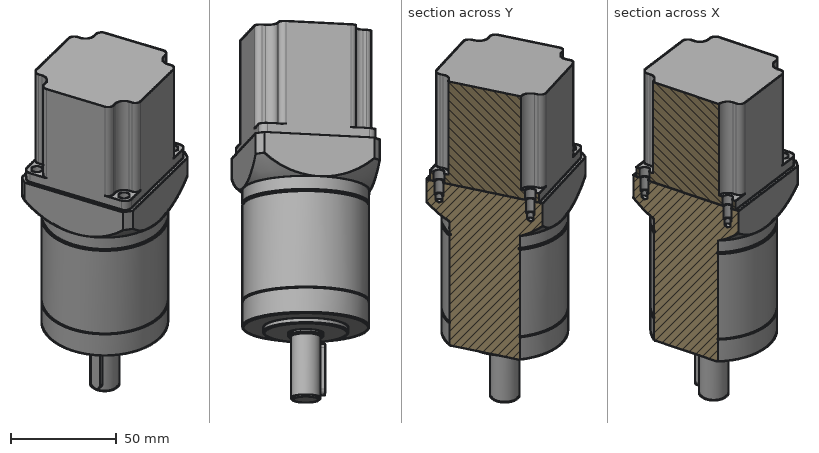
import cadquery as cq
import math

total_height = 176.5
shaft_chamfer = 0.9
collar_bottom = 30.5
boss_bottom = 32.3
housing_bottom = 35.0
lower_joint = 47.5
upper_joint = 94.6
neck_top = 101.5
gearbox_top = 121.6
flange_top = 126.5

housing_width = 60.0
housing_radius = housing_width / 2
adapter_corner_radius = 40.0
adapter_shoulder = neck_top + adapter_corner_radius - housing_radius
flare_bulge_radius = 49.5
boss_radius = 20.1
collar_radius = 8.3
shaft_radius = 7.0
edge_chamfer = 0.5
upper_groove = 0.5
lower_groove = 0.26

key_width = 5.0
key_length = 25.0
key_bottom = 2.5
key_reach = 9.0

motor_width = 56.5
flange_corner_radius = 3.5
screw_pitch = 47.1
screw_offset = screw_pitch / 2
scallop_radius = 4.8
motor_edge_radius = 3.0

clearance_radius = 2.6
tapped_radius = 2.1
tapped_depth = 7.0
drill_radius = 1.6
drill_depth = 10.0
drill_tip_angle = 118.0

screw_points = [(x * screw_offset, y * screw_offset) for x in (-1, 1) for y in (-1, 1)]


def make_housing():
    """Turned gearbox housing with V-grooves at its joints and the output boss and collar."""
    profile = [
        (0, collar_bottom),
        (collar_radius - edge_chamfer, collar_bottom),
        (collar_radius, collar_bottom + edge_chamfer),
        (collar_radius, boss_bottom),
        (boss_radius - edge_chamfer, boss_bottom),
        (boss_radius, boss_bottom + edge_chamfer),
        (boss_radius, housing_bottom),
        (housing_radius - edge_chamfer, housing_bottom),
        (housing_radius, housing_bottom + edge_chamfer),
    ]
    for joint, groove in ((lower_joint, lower_groove), (upper_joint, upper_groove)):
        profile += [
            (housing_radius, joint - groove),
            (housing_radius - groove, joint),
            (housing_radius, joint + groove),
        ]
    profile += [(housing_radius, neck_top), (0, neck_top)]
    return cq.Workplane("XZ").polyline(profile).close().revolve(360, (0, 0), (0, 1))


def make_adapter():
    """Square motor adapter: a turned, slightly bulging flare trimmed by four flat sides."""
    flare = (
        cq.Workplane("XZ")
        .moveTo(0, neck_top)
        .lineTo(housing_radius, neck_top)
        .radiusArc((adapter_corner_radius, adapter_shoulder), -flare_bulge_radius)
        .lineTo(adapter_corner_radius, gearbox_top)
        .lineTo(0, gearbox_top)
        .close()
        .revolve(360, (0, 0), (0, 1))
    )
    square = (
        cq.Workplane("XY", origin=(0, 0, neck_top))
        .rect(housing_width, housing_width)
        .extrude(gearbox_top - neck_top)
    )
    return flare.intersect(square)


def make_shaft():
    """Output shaft with a chamfered tip."""
    shaft = cq.Workplane("XY").circle(shaft_radius).extrude(collar_bottom)
    return shaft.faces("<Z").chamfer(shaft_chamfer)


def make_key():
    """Round-ended key standing out of the shaft on the -Y side."""
    return (
        cq.Workplane("XZ")
        .center(0, key_bottom + key_length / 2)
        .slot2D(key_length, key_width, 90)
        .extrude(key_reach)
    )


def make_tapped_hole_cutter():
    """Blind stepped holes with conical drill tips, sunk into the adapter face."""
    tip_height = drill_radius / math.tan(math.radians(drill_tip_angle / 2))
    drill_bottom = gearbox_top - drill_depth
    thread_bottom = gearbox_top - tapped_depth
    profile = [
        (0, drill_bottom - tip_height),
        (drill_radius, drill_bottom),
        (drill_radius, thread_bottom),
        (tapped_radius, thread_bottom),
        (tapped_radius, gearbox_top),
        (0, gearbox_top),
    ]
    drill = cq.Workplane("XZ").polyline(profile).close().revolve(360, (0, 0), (0, 1))
    cutter = cq.Workplane("XY")
    for x, y in screw_points:
        cutter = cutter.add(drill.translate((x, y, 0)))
    return cutter.combine()


def make_gearbox():
    """Gearbox housing, adapter, shaft and key as one solid."""
    gearbox = make_housing().union(make_adapter()).union(make_shaft()).union(make_key())
    return gearbox.cut(make_tapped_hole_cutter())


def make_motor_flange():
    """Square mounting plate with rounded corners and four clearance holes."""
    return (
        cq.Workplane("XY", origin=(0, 0, gearbox_top))
        .rect(motor_width, motor_width)
        .extrude(flange_top - gearbox_top)
        .edges("|Z")
        .fillet(flange_corner_radius)
        .faces(">Z")
        .workplane()
        .pushPoints(screw_points)
        .circle(clearance_radius)
        .cutThruAll()
    )


def make_motor_body():
    """Motor case with a rounded scallop at each corner, clear of the screws."""
    body_height = total_height - flange_top
    scallop_wall = screw_offset - scallop_radius
    cross_width = 2 * scallop_wall
    base = cq.Workplane("XY", origin=(0, 0, flange_top))
    bar = base.rect(motor_width, cross_width).extrude(body_height)
    bar = bar.edges("|Z").fillet(motor_edge_radius)
    crossed_bars = bar.union(bar.rotate((0, 0, 0), (0, 0, 1), 90))
    inner_corners = cq.selectors.BoxSelector(
        (-screw_offset, -screw_offset, flange_top), (screw_offset, screw_offset, total_height)
    )
    return crossed_bars.edges("|Z").edges(inner_corners).fillet(scallop_radius)


def make_motor():
    """Motor flange and case as one solid."""
    return make_motor_flange().union(make_motor_body())


gearbox = make_gearbox()
motor = make_motor()

result = cq.Compound.makeCompound([gearbox.val(), motor.val()])